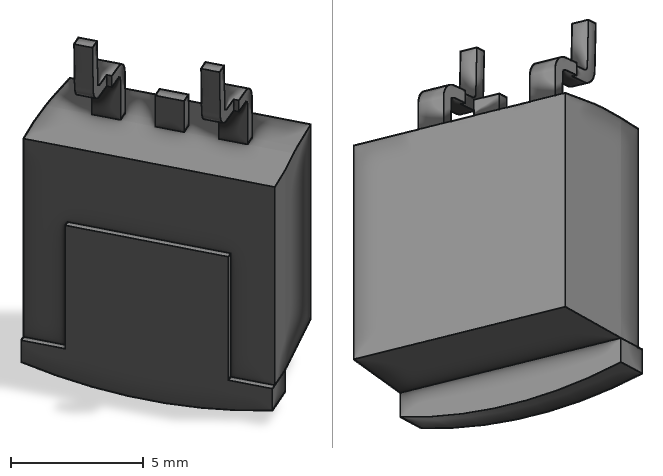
import cadquery as cq
import math

width = 10.05
depth = 4.84
height = 15.21
draft = math.tan(math.radians(3.5))

tab_thickness = 1.43
tab_top_z = 1.58
tab_side_z = 0.61
pad_width = 6.53
pad_top_z = 7.07
pad_thickness = 0.26

lead_thickness = 0.5
lead_width = 1.15
lead_tip_width = 0.75
lead_pitch = 2.54
lead_front_y = 2.52
lead_back_y = lead_front_y + lead_thickness
lead_step_y = 1.57
arm_top_z = 13.13
lead_tilt = math.tan(math.radians(2.0))
inner_bend_radius = 0.23
outer_bend_radius = inner_bend_radius + lead_thickness
stub_top_z = 11.92

housing_top_z = 10.54


def make_tab():
    """Plate with a bowed lower edge and a thin pad rising over the housing."""
    plate = (
        cq.Workplane("XZ")
        .moveTo(-width / 2, tab_top_z)
        .lineTo(-width / 2, tab_side_z)
        .threePointArc((0, 0), (width / 2, tab_side_z))
        .lineTo(width / 2, tab_top_z)
        .close()
        .extrude(-tab_thickness)
    )
    pad = cq.Workplane("XY").box(
        pad_width, pad_thickness, pad_top_z - tab_top_z, centered=(True, False, False)
    ).translate((0, 0, tab_top_z))
    return plate.union(pad)


def make_housing():
    """Moulded block with drafted top, bottom and sides."""
    rear_draft = (depth - tab_thickness) * draft
    profile = [
        (pad_thickness, tab_top_z),
        (tab_thickness, tab_top_z),
        (depth, tab_top_z + rear_draft),
        (depth, housing_top_z - (depth - lead_back_y) * draft),
        (lead_back_y, housing_top_z),
        (lead_front_y, housing_top_z),
        (pad_thickness, housing_top_z - (lead_front_y - pad_thickness) * draft),
    ]
    plan = [
        (-width / 2, pad_thickness),
        (width / 2, pad_thickness),
        (width / 2, tab_thickness),
        (width / 2 - rear_draft, depth),
        (-width / 2 + rear_draft, depth),
        (-width / 2, tab_thickness),
    ]
    block = cq.Workplane("YZ").polyline(profile).close().extrude(width / 2, both=True)
    return block.intersect(cq.Workplane("XY").polyline(plan).close().extrude(height))


def arm_foot_corner(arm_z, foot_y):
    """Meeting point of an arm face and a foot face.

    arm_z is the arm face's height at Y = 0; foot_y is the foot face's Y at the tip.
    """
    z = (arm_z - lead_tilt * (foot_y + height * lead_tilt)) / (1 - lead_tilt**2)
    return foot_y + (height - z) * lead_tilt, z


def make_lead(center_x):
    """Lead that rises, bends forward in a slightly tilted arm and rises again in a foot."""
    slant_thickness = lead_thickness * math.sqrt(1 + lead_tilt**2)
    arm_bottom_z = arm_top_z - slant_thickness
    outer_shoulder = (lead_back_y, arm_top_z - lead_back_y * lead_tilt)
    inner_shoulder = (lead_front_y, arm_bottom_z - lead_front_y * lead_tilt)
    outer_heel = arm_foot_corner(arm_bottom_z, 0)
    inner_heel = arm_foot_corner(arm_top_z, slant_thickness)
    profile = [
        (lead_front_y, housing_top_z),
        inner_shoulder,
        outer_heel,
        (0, height),
        (slant_thickness, height),
        inner_heel,
        outer_shoulder,
        (lead_back_y, housing_top_z),
    ]
    lead = cq.Workplane("YZ").polyline(profile).close().extrude(lead_width / 2, both=True)

    bends = [
        (inner_shoulder, inner_bend_radius),
        (outer_shoulder, outer_bend_radius),
        (inner_heel, inner_bend_radius),
        (outer_heel, outer_bend_radius),
    ]
    for (y, z), radius in bends:
        lead = lead.edges(cq.NearestToPointSelector((0, y, z))).fillet(radius)

    side_cut = (lead_width - lead_tip_width) / 2
    for side in (-1, 1):
        cutter = cq.Workplane("XY").box(side_cut, lead_step_y, height, centered=(True, False, False))
        lead = lead.cut(cutter.translate((side * (lead_width - side_cut) / 2, 0, 0)))
    return lead.translate((center_x, 0, 0))


def make_stub():
    """Short cropped centre lead."""
    return cq.Workplane("XY").box(
        lead_width, lead_thickness, stub_top_z - housing_top_z, centered=(True, False, False)
    ).translate((0, lead_front_y, housing_top_z))


tab = make_tab()
housing = make_housing()
leads = [make_lead(side * lead_pitch) for side in (-1, 1)]
stub = make_stub()

result = cq.Compound.makeCompound(
    [tab.solids().val(), housing.solids().val(), stub.val(), *[lead.solids().val() for lead in leads]]
)